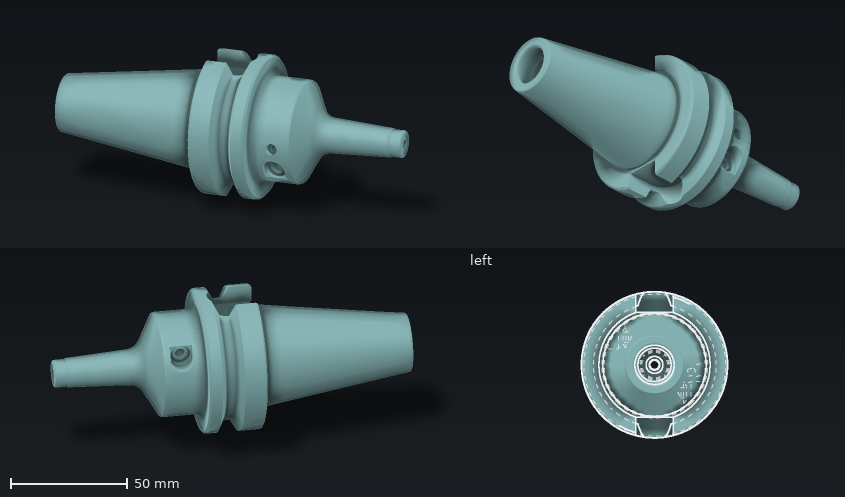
import cadquery as cq
import math

LENGTH = 155.4

TAPER_LENGTH = 65.5
TAPER_LAND = 0.6
TAPER_RATE = 7 / 24
TAPER_RADIUS = 22.2
SHANK_FILLET = 0.8
RELIEF_RADIUS = 43.5 / 2

FLANGE_START = 67.1
FLANGE_END = 92.5
FLANGE_RADIUS = 63.0 / 2
FLANGE_FRONT_FILLET = 1.2
FLANGE_REAR_CHAMFER = 1.0
FACE_RECESS_RADIUS = 24.0
FACE_RECESS_DEPTH = 0.6
GROOVE_RADIUS = 26.4
GROOVE_FLOOR_START = 79.9
GROOVE_FLOOR_END = 83.9
GROOVE_WALL_SLOPE = math.radians(30)

SLOT_WIDTH = 16.0
SLOT_END = 88.3
SLOT_FLOOR = 22.5

BOSS_RADIUS = 45.5 / 2
BOSS_FILLET = 2.8
BOSS_END = 109.4
BOSS_CHAMFER_LENGTH = 1.0
BOSS_CHAMFER_DROP = 0.3
CONE_ANGLE = math.radians(60)
NECK_ANGLE = math.radians(3)
NECK_END = 149.7
NECK_END_RADIUS = 6.4
NECK_BLEND = 7.6
NOSE_RADIUS = 12.0 / 2
NOSE_CHAMFER = 0.5

MOUTH_FILLET = 1.1
COUNTERBORE_RADIUS = 17.0 / 2
COUNTERBORE_DEPTH = 6.8
LEAD_IN_RADIUS = 16.0 / 2
LEAD_IN_START = 8.1
THREAD_START = 9.3
THREAD_RADIUS = 14.3 / 2
THREAD_DEPTH = 31.1
DRILL_CONE_LENGTH = 1.9
STEP_MOUTH_RADIUS = 8.0 / 2
STEP_RADIUS = 7.3 / 2
STEP_DEPTH = 46.6
THROUGH_MOUTH_RADIUS = 4.5 / 2
THROUGH_RADIUS = 4.0 / 2

SIDE_HOLE_X = 102.4
SCREW_OFFSET = 12.0
POCKET_WIDTH = 10.0
POCKET_FLOOR = 15.5
SCREW_HOLE_DIAMETER = 9.0
SCREW_HOLE_DEPTH = 3.1
SCREW_END_DIAMETER = 6.0
SCREW_END_DEPTH = 1.9
SOCKET_DIAMETER = 4.5
SOCKET_DEPTH = 2.3
DRILL_POINT_ANGLE = math.radians(118)

BLEED_OFFSET = 1.1
BLEED_TILT = 15.0
BLEED_DIAMETER = 5.0
BLEED_DEPTH = 5.6
BLEED_PILOT_DIAMETER = 3.0
BLEED_PILOT_DEPTH = 3.1


def blend(before, corner, after, radius):
    """Start, middle and end of an arc that rounds a corner between two straight lines."""
    corner = cq.Vector(*corner)
    to_before = (cq.Vector(*before) - corner).normalized()
    to_after = (cq.Vector(*after) - corner).normalized()
    half_angle = to_before.getAngle(to_after) / 2
    setback = radius / math.tan(half_angle)
    bisector = (to_before + to_after).normalized()
    middle = corner + bisector * (radius / math.sin(half_angle) - radius)
    ends = [corner + to_before * setback, corner + to_after * setback]
    return [point.toTuple()[:2] for point in (ends[0], middle, ends[1])]


def make_body():
    """Revolved outside of the holder, as (x, radius) points."""
    shank_radius = TAPER_RADIUS - TAPER_LENGTH * TAPER_RATE / 2
    taper_end = (TAPER_LENGTH, TAPER_RADIUS)
    shank_fillet = blend((0, 0), (0, shank_radius), taper_end, SHANK_FILLET)
    relief_start = TAPER_LENGTH + TAPER_LAND + TAPER_RADIUS - RELIEF_RADIUS

    groove_run = (FLANGE_RADIUS - GROOVE_RADIUS) * math.tan(GROOVE_WALL_SLOPE)
    groove_edge = (GROOVE_FLOOR_START - groove_run, FLANGE_RADIUS)
    flange_corner = (FLANGE_START, FLANGE_RADIUS)
    flange_fillet = blend((FLANGE_START, 0), flange_corner, groove_edge, FLANGE_FRONT_FILLET)

    boss_corner = (FLANGE_END, BOSS_RADIUS)
    boss_edge = (BOSS_END, BOSS_RADIUS)
    boss_fillet = blend((FLANGE_END, FLANGE_RADIUS), boss_corner, boss_edge, BOSS_FILLET)

    cone_start = (BOSS_END + BOSS_CHAMFER_LENGTH, BOSS_RADIUS - BOSS_CHAMFER_DROP)
    neck_end = (NECK_END, NECK_END_RADIUS)
    neck_radius_at_cone = NECK_END_RADIUS + (NECK_END - cone_start[0]) * math.tan(NECK_ANGLE)
    cone_run = (cone_start[1] - neck_radius_at_cone) / (math.tan(CONE_ANGLE) - math.tan(NECK_ANGLE))
    neck_corner = (cone_start[0] + cone_run, cone_start[1] - cone_run * math.tan(CONE_ANGLE))
    neck_blend = blend(cone_start, neck_corner, neck_end, NECK_BLEND)

    profile = (
        cq.Workplane("XY")
        .moveTo(0, 0)
        .lineTo(*shank_fillet[0])
        .threePointArc(shank_fillet[1], shank_fillet[2])
        .lineTo(*taper_end)
        .lineTo(relief_start - TAPER_RADIUS + RELIEF_RADIUS, TAPER_RADIUS)
        .lineTo(relief_start, RELIEF_RADIUS)
        .lineTo(FLANGE_START + FACE_RECESS_DEPTH, RELIEF_RADIUS)
        .lineTo(FLANGE_START + FACE_RECESS_DEPTH, FACE_RECESS_RADIUS)
        .lineTo(FLANGE_START, FACE_RECESS_RADIUS)
        .lineTo(*flange_fillet[0])
        .threePointArc(flange_fillet[1], flange_fillet[2])
        .lineTo(*groove_edge)
        .lineTo(GROOVE_FLOOR_START, GROOVE_RADIUS)
        .lineTo(GROOVE_FLOOR_END, GROOVE_RADIUS)
        .lineTo(GROOVE_FLOOR_END + groove_run, FLANGE_RADIUS)
        .lineTo(FLANGE_END - FLANGE_REAR_CHAMFER, FLANGE_RADIUS)
        .lineTo(FLANGE_END, FLANGE_RADIUS - FLANGE_REAR_CHAMFER)
        .lineTo(*boss_fillet[0])
        .threePointArc(boss_fillet[1], boss_fillet[2])
        .lineTo(*boss_edge)
        .lineTo(*cone_start)
        .lineTo(*neck_blend[0])
        .threePointArc(neck_blend[1], neck_blend[2])
        .lineTo(*neck_end)
        .lineTo(NECK_END + NECK_END_RADIUS - NOSE_RADIUS, NOSE_RADIUS)
        .lineTo(LENGTH - NOSE_CHAMFER, NOSE_RADIUS)
        .lineTo(LENGTH, NOSE_RADIUS - NOSE_CHAMFER)
        .lineTo(LENGTH, 0)
        .close()
    )
    return profile.revolve(360, (0, 0, 0), (1, 0, 0))


def make_bore():
    """Stepped bore for the pull stud, running through to the nose."""
    mouth_corner = (0, COUNTERBORE_RADIUS)
    counterbore_end = (COUNTERBORE_DEPTH, COUNTERBORE_RADIUS)
    mouth_fillet = blend((0, TAPER_RADIUS), mouth_corner, counterbore_end, MOUTH_FILLET)
    cone_end = THREAD_DEPTH + DRILL_CONE_LENGTH
    profile = (
        cq.Workplane("XY")
        .moveTo(0, 0)
        .lineTo(*mouth_fillet[0])
        .threePointArc(mouth_fillet[1], mouth_fillet[2])
        .lineTo(*counterbore_end)
        .lineTo(LEAD_IN_START, LEAD_IN_RADIUS)
        .lineTo(THREAD_START, THREAD_RADIUS)
        .lineTo(THREAD_DEPTH, THREAD_RADIUS)
        .lineTo(cone_end, STEP_MOUTH_RADIUS)
        .lineTo(cone_end + STEP_MOUTH_RADIUS - STEP_RADIUS, STEP_RADIUS)
        .lineTo(STEP_DEPTH, STEP_RADIUS)
        .lineTo(STEP_DEPTH, THROUGH_MOUTH_RADIUS)
        .lineTo(STEP_DEPTH + THROUGH_MOUTH_RADIUS - THROUGH_RADIUS, THROUGH_RADIUS)
        .lineTo(LENGTH, THROUGH_RADIUS)
        .lineTo(LENGTH, 0)
        .close()
    )
    return profile.revolve(360, (0, 0, 0), (1, 0, 0))


def make_drive_slot():
    """Round-ended slot in the top of the flange, open towards the shank."""
    slot_radius = SLOT_WIDTH / 2
    round_centre = SLOT_END - slot_radius
    return (
        cq.Workplane("XY", origin=(0, 0, SLOT_FLOOR))
        .moveTo(TAPER_LENGTH, -slot_radius)
        .lineTo(round_centre, -slot_radius)
        .threePointArc((SLOT_END, 0), (round_centre, slot_radius))
        .lineTo(TAPER_LENGTH, slot_radius)
        .close()
        .extrude(FLANGE_RADIUS)
    )


def make_screw_pocket():
    """Round-topped pocket in the -Y side, open downwards, with the screw hole in its floor."""
    half_width = POCKET_WIDTH / 2
    pocket = (
        cq.Workplane("XZ", origin=(SIDE_HOLE_X, -POCKET_FLOOR, -SCREW_OFFSET))
        .moveTo(-half_width, -BOSS_RADIUS)
        .lineTo(-half_width, 0)
        .threePointArc((0, half_width), (half_width, 0))
        .lineTo(half_width, -BOSS_RADIUS)
        .close()
        .extrude(BOSS_RADIUS)
    )
    point_length = SOCKET_DIAMETER / 2 / math.tan(DRILL_POINT_ANGLE / 2)
    socket_end = SCREW_END_DEPTH + SOCKET_DEPTH
    hole = (
        cq.Workplane("XY", origin=(SIDE_HOLE_X, -POCKET_FLOOR, -SCREW_OFFSET))
        .moveTo(0, 0)
        .lineTo(SCREW_HOLE_DIAMETER / 2, 0)
        .lineTo(SCREW_HOLE_DIAMETER / 2, SCREW_HOLE_DEPTH)
        .lineTo(SCREW_END_DIAMETER / 2, SCREW_END_DEPTH)
        .lineTo(SOCKET_DIAMETER / 2, SCREW_END_DEPTH)
        .lineTo(SOCKET_DIAMETER / 2, socket_end)
        .lineTo(0, socket_end + point_length)
        .close()
        .revolve(360, (0, 0, 0), (0, 1, 0))
    )
    return pocket.union(hole)


def make_bleed_hole():
    """Stepped hole in the -Y side that slopes down towards the axis."""
    mouth = (SIDE_HOLE_X, -BOSS_RADIUS, -BLEED_OFFSET)
    hole = (
        cq.Workplane("XZ", origin=mouth)
        .circle(BLEED_DIAMETER / 2)
        .extrude(BLEED_DEPTH, both=True)
    )
    pilot = (
        cq.Workplane("XZ", origin=mouth)
        .circle(BLEED_PILOT_DIAMETER / 2)
        .extrude(-BLEED_DEPTH - BLEED_PILOT_DEPTH)
    )
    tilt_axis_end = (mouth[0] + 1.5, mouth[1], mouth[2])
    return hole.union(pilot).rotate(mouth, tilt_axis_end, -BLEED_TILT)


result = make_body().cut(make_bore())
for opposite_side in (0, 180):
    for cutter in (make_drive_slot(), make_screw_pocket()):
        result = result.cut(cutter.rotate((0, 0, 0), (1, 0, 0), opposite_side))
result = result.cut(make_bleed_hole())